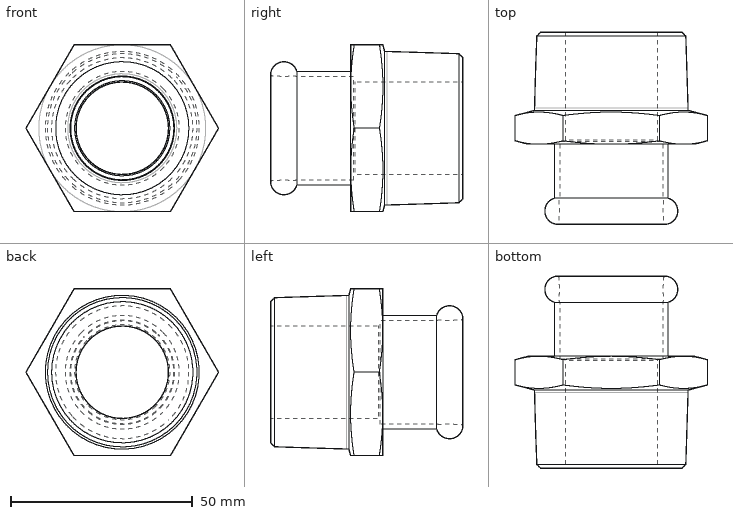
import cadquery as cq
import math

total_length = 53.0

pipe_diameter = 31.4
bead_diameter = 36.7
bead_length = 7.4
socket_diameter = 28.4
mouth_diameter = 28.8
mouth_round = 0.65
mouth_length = 6.75
socket_cone_length = 0.6
socket_depth = 22.85

seal_ridge_width = 2.85
seal_ridge_diameter = 28.4

bore_diameter = 25.4
bore_chamfer = 0.4

hex_across_corners = 53.1
hex_front = 22.1
hex_back_at_flats = 30.95
hex_chamfer_angle = 15.0

collar_diameter = 42.4
taper_start = 32.05
taper_ratio = 1 / 16
end_chamfer = 1.1

hex_corner_radius = hex_across_corners / 2
hex_flat_radius = hex_corner_radius * math.cos(math.radians(30))
hex_chamfer_slope = math.tan(math.radians(hex_chamfer_angle))
socket_radius = socket_diameter / 2
mouth_radius = mouth_diameter / 2
rim_radius = mouth_radius + mouth_round


def revolve_about_y(profile):
    """Turn a closed (radius, Y) profile a full turn around the Y axis."""
    return profile.close().revolve(360, (0, 0, 0), (0, 1, 0))


def make_pipe():
    return revolve_about_y(
        cq.Workplane("XY")
        .lineTo(pipe_diameter / 2, 0)
        .lineTo(pipe_diameter / 2, hex_back_at_flats)
        .lineTo(0, hex_back_at_flats)
    ).cut(
        cq.Workplane("XZ").circle(bead_diameter).extrude(-bead_length / 2)
    )


def make_bead():
    return revolve_about_y(
        cq.Workplane("XY")
        .lineTo(rim_radius, 0)
        .threePointArc((bead_diameter / 2, bead_length / 2), (rim_radius, bead_length))
        .lineTo(0, bead_length)
    )


def make_hexagon():
    back_at_collar = hex_back_at_flats + (hex_flat_radius - collar_diameter / 2) * hex_chamfer_slope
    corner_drop = (hex_corner_radius - hex_flat_radius) * hex_chamfer_slope
    prism = (
        cq.Workplane("XZ", origin=(0, hex_front, 0))
        .polygon(6, hex_across_corners)
        .extrude(hex_front - back_at_collar)
    )
    chamfer_envelope = revolve_about_y(
        cq.Workplane("XY")
        .moveTo(0, hex_front)
        .lineTo(hex_flat_radius, hex_front)
        .lineTo(hex_corner_radius, hex_front + corner_drop)
        .lineTo(hex_corner_radius, hex_back_at_flats - corner_drop)
        .lineTo(collar_diameter / 2, back_at_collar)
        .lineTo(0, back_at_collar)
    )
    return prism.intersect(chamfer_envelope)


def make_tapered_end():
    chamfer_start = total_length - end_chamfer
    taper_end_radius = (collar_diameter - (chamfer_start - taper_start) * taper_ratio) / 2
    return revolve_about_y(
        cq.Workplane("XY")
        .moveTo(0, hex_back_at_flats)
        .lineTo(collar_diameter / 2, hex_back_at_flats)
        .lineTo(collar_diameter / 2, taper_start)
        .lineTo(taper_end_radius, chamfer_start)
        .lineTo(taper_end_radius - end_chamfer, total_length)
        .lineTo(0, total_length)
    )


def make_inside():
    ridge_middle = bead_length / 2
    ridge_start = ridge_middle - seal_ridge_width / 2
    ridge_end = ridge_middle + seal_ridge_width / 2
    round_offset = mouth_round * math.sqrt(0.5)
    return revolve_about_y(
        cq.Workplane("XY")
        .lineTo(rim_radius, 0)
        .threePointArc(
            (rim_radius - round_offset, mouth_round - round_offset),
            (mouth_radius, mouth_round),
        )
        .lineTo(mouth_radius, ridge_start)
        .threePointArc((seal_ridge_diameter / 2, ridge_middle), (mouth_radius, ridge_end))
        .lineTo(mouth_radius, mouth_length)
        .lineTo(socket_radius, mouth_length + socket_cone_length)
        .lineTo(socket_radius, socket_depth)
        .lineTo(bore_diameter / 2 + bore_chamfer, socket_depth)
        .lineTo(bore_diameter / 2, socket_depth + bore_chamfer)
        .lineTo(bore_diameter / 2, total_length)
        .lineTo(0, total_length)
    )


outside = make_pipe().union(make_bead()).union(make_hexagon()).union(make_tapered_end())
result = outside.cut(make_inside())